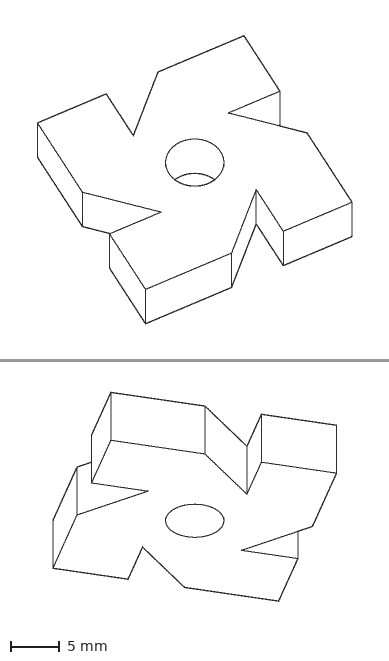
import cadquery as cq

side = 24.0
thickness = 6.0
bore_diameter = 6.0
arm_width = side / 3
notch_size = 6.0
notch_count = 4

half_side = side / 2


def make_plate():
    """Square plate with a round through bore at its centre."""
    plate = cq.Workplane("XY").rect(side, side).extrude(thickness)
    return plate.faces(">Z").workplane().hole(bore_diameter)


def make_notch():
    """Triangular prism that opens through the +Y edge of the plate."""
    wall_x = arm_width - half_side
    outline = [
        (wall_x, half_side),
        (wall_x, half_side - notch_size),
        (wall_x + notch_size, half_side),
    ]
    return cq.Workplane("XY").polyline(outline).close().extrude(thickness)


result = make_plate()
notch = make_notch()
for index in range(notch_count):
    angle = index * 360 / notch_count
    result = result.cut(notch.rotate((0, 0, 0), (0, 0, 1), angle))